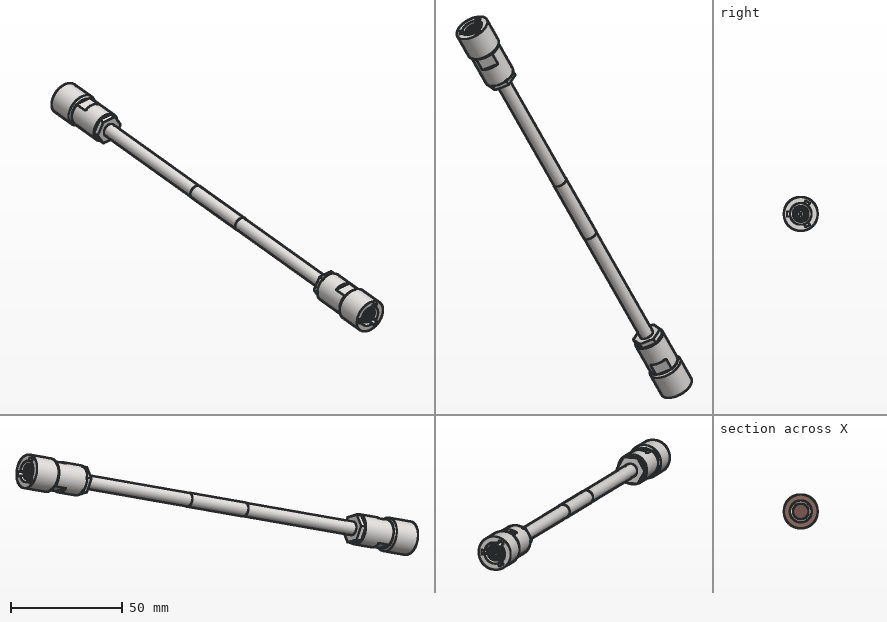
import cadquery as cq

overall_length = 216.0
plug_face_x = -overall_length / 2

nut_diameter = 15.3
nut_length = 13.2
nut_chamfer = 1.0
nut_bore_diameter = 9.7
nut_bore_depth = 11.2
slot_count = 3
slot_width = 2.2
slot_depth = 3.5
slot_outer_radius = 6.3

body_diameter = 13.8
body_length = 15.8
flat_length = 6.0
across_flats = 11.5
shell_diameter = 7.1
shell_bore_diameter = 5.8
shell_bore_depth = 1.3
shell_setback = 0.9
insulator_diameter = 4.5
insulator_setback = 1.5
contact_diameter = 3.2
contact_setback = 0.9
contact_hole_diameter = 0.9
contact_hole_depth = 2.2

hex_corner_diameter = 13.4
hex_length = 2.5

cable_diameter = 6.3
label_diameter = 6.5
label_length = 31.7
label_center_x = 0.6

body_start = nut_length
body_end = body_start + body_length
plug_length = body_end + hex_length


def rod(start, end, diameter):
    """Round bar along X, from start to end."""
    return cq.Workplane("YZ", origin=(start, 0, 0)).circle(diameter / 2).extrude(end - start)


def make_coupling_nut():
    nut = rod(0, nut_length, nut_diameter).faces(">X").chamfer(nut_chamfer)
    nut = nut.cut(rod(0, nut_bore_depth, nut_bore_diameter))
    nut = nut.cut(rod(nut_bore_depth, nut_length, shell_diameter))
    slot = cq.Workplane("XY").box(
        slot_depth, slot_outer_radius, slot_width, centered=(False, False, True)
    )
    for i in range(slot_count):
        angle = i * 360 / slot_count
        nut = nut.cut(slot.rotate((0, 0, 0), (1, 0, 0), angle))
    return nut


def make_body():
    body = rod(body_start, body_end, body_diameter)
    for side in (1, -1):
        block = cq.Workplane("XY").box(
            flat_length, body_diameter, body_diameter, centered=(False, True, True)
        )
        block_z = side * (across_flats + body_diameter) / 2
        body = body.cut(block.translate((body_start, 0, block_z)))

    bore_floor = shell_setback + shell_bore_depth
    shell = rod(shell_setback, body_start, shell_diameter)
    shell = shell.cut(rod(shell_setback, bore_floor, shell_bore_diameter))
    insulator = rod(insulator_setback, bore_floor, insulator_diameter)
    contact = rod(contact_setback, bore_floor, contact_diameter)
    contact_hole = rod(contact_setback, contact_setback + contact_hole_depth, contact_hole_diameter)
    return body.union(shell).union(insulator).union(contact).cut(contact_hole)


def make_clamp_nut():
    hexagon = cq.Workplane("YZ", origin=(body_end, 0, 0)).polygon(6, hex_corner_diameter)
    hexagon = hexagon.extrude(hex_length)
    return hexagon.cut(rod(body_end, plug_length, cable_diameter))


def make_cable():
    cable_end = overall_length / 2 - body_end
    return rod(-cable_end, cable_end, cable_diameter)


def make_label():
    start = label_center_x - label_length / 2
    end = label_center_x + label_length / 2
    return rod(start, end, label_diameter).cut(rod(start, end, cable_diameter))


plug_parts = []
for turn in (0, 180):
    for make_part in (make_coupling_nut, make_body, make_clamp_nut):
        part = make_part().translate((plug_face_x, 0, 0)).rotate((0, 0, 0), (0, 0, 1), turn)
        plug_parts.append(part.val())

cable = make_cable()
label = make_label()

result = cq.Compound.makeCompound([*plug_parts, cable.val(), label.val()])